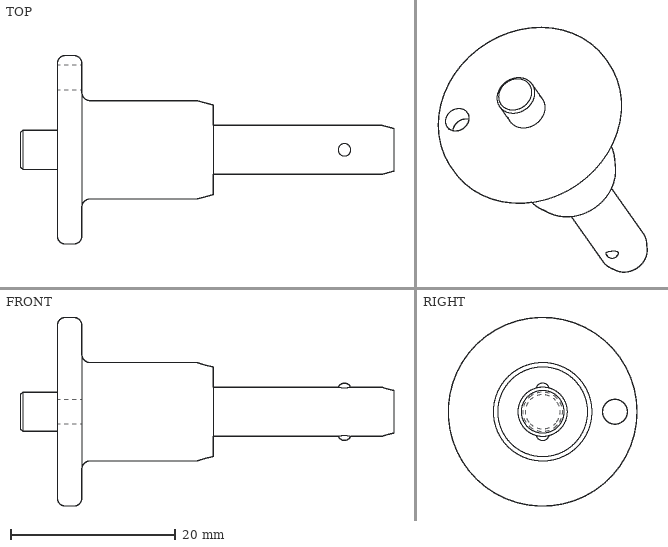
import cadquery as cq
import math


taper_angle = math.radians(15)

flange_diameter = 23.0
flange_thickness = 3.0
flange_rounding = 1.0
hub_diameter = 12.0
handle_length = 19.0
hub_fillet = 1.0
hub_taper_length = 2.0

lanyard_hole_diameter = 3.0
lanyard_hole_offset = 8.8

shank_diameter = 6.0
shank_length = 22.0
tip_taper_length = 1.5
ball_diameter = 1.6
ball_to_tip = 6.05
ball_center_height = 2.7

button_diameter = 4.8
button_projection = 4.5
button_chamfer = 0.3


def cylinder_along_x(start_x, end_x, diameter):
    return cq.Workplane("YZ", origin=(start_x, 0, 0)).circle(diameter / 2).extrude(end_x - start_x)


def make_handle():
    flange_radius = flange_diameter / 2
    hub_radius = hub_diameter / 2
    hub_end_radius = hub_radius - hub_taper_length * math.tan(taper_angle)
    rim_start_x = flange_rounding
    rim_end_x = flange_thickness - flange_rounding
    face_radius = flange_radius - flange_rounding
    profile = (
        cq.Workplane("XY")
        .lineTo(0, face_radius)
        .radiusArc((rim_start_x, flange_radius), flange_rounding)
        .lineTo(rim_end_x, flange_radius)
        .radiusArc((flange_thickness, face_radius), flange_rounding)
        .lineTo(flange_thickness, hub_radius + hub_fillet)
        .radiusArc((flange_thickness + hub_fillet, hub_radius), -hub_fillet)
        .lineTo(handle_length - hub_taper_length, hub_radius)
        .lineTo(handle_length, hub_end_radius)
        .lineTo(handle_length, 0)
        .close()
    )
    handle = profile.revolve(360, (0, 0, 0), (1, 0, 0))
    lanyard_hole = cylinder_along_x(0, flange_thickness, lanyard_hole_diameter)
    return handle.cut(lanyard_hole.translate((0, lanyard_hole_offset, 0)))


def make_shank():
    shank_radius = shank_diameter / 2
    tip_radius = shank_radius - tip_taper_length * math.tan(taper_angle)
    shank = (
        cq.Workplane("XY", origin=(handle_length, 0, 0))
        .lineTo(0, shank_radius)
        .lineTo(shank_length - tip_taper_length, shank_radius)
        .lineTo(shank_length, tip_radius)
        .lineTo(shank_length, 0)
        .close()
        .revolve(360, (0, 0, 0), (1, 0, 0))
    )
    for side in (1, -1):
        ball_center = (handle_length + shank_length - ball_to_tip, 0, side * ball_center_height)
        ball = cq.Workplane("XY").sphere(ball_diameter / 2).translate(ball_center)
        shank = shank.union(ball)
    return shank


def make_button():
    button = cylinder_along_x(-button_projection, 0, button_diameter)
    return button.faces("<X").chamfer(button_chamfer)


handle = make_handle()
shank = make_shank()
button = make_button()

result = cq.Compound.makeCompound([handle.val(), shank.val(), button.val()])